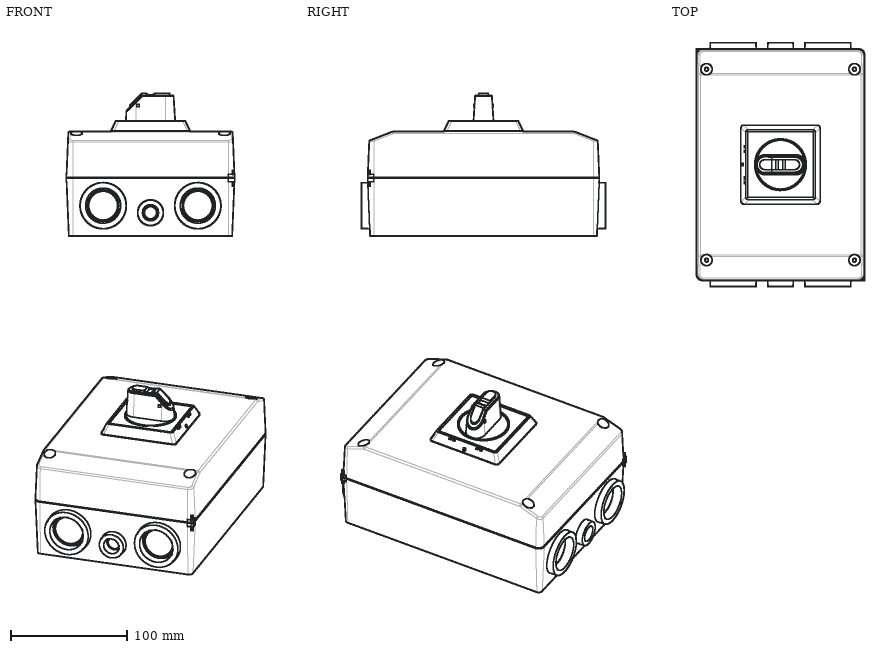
import cadquery as cq
import math

OVERALL_X = 145.3
OVERALL_Y = 210.2

BODY_X = 145.0
BODY_Y = 199.7
CORNER_R = 5.5
PARTING_Z = 50.2
LID_TOP_Z = 90.2
BASE_DRAFT = 2.0
LID_DRAFT = 1.7
SEAM_DEPTH = 0.5
SEAM_HEIGHT = 0.6

SLOPE_START_Y = 78.2
SLOPE_END_Y = 98.4
SLOPE_END_Z = 82.5
SLOPE_CREST_R = 4.2
LID_EDGE_R = 1.7

SCREW_X = 63.7
SCREW_Y = 82.2
SCREW_HEAD_R = 4.8
SCREW_HEAD_Z = 79.9
SCREW_HOLE_R = 1.5

LUG_SIZE = CORNER_R
LUG_BOTTOM_Z = 46.7
LUG_TOP_Z = 53.2
SLEEVE_INSET = 1.37
SLEEVE_R = 1.0
SLEEVE_HOLE_R = 0.6
SLEEVE_BOTTOM_Z = 43.0
SLEEVE_TOP_Z = 57.0

ENTRY_ROOT_Y = 94.6
ENTRY_FLOOR_Y = 96.7
ENTRY_DRAFT = 0.5
KNOCKOUT_Y = 98.2
KNOCKOUT_BEVEL = 1.3
LARGE_ENTRY_X = 40.8
LARGE_ENTRY_Z = 26.3
LARGE_ENTRY_R = 20.2
LARGE_MOUTH_R = 15.1
LARGE_KNOCKOUT_R = 12.5
SMALL_ENTRY_Z = 20.2
SMALL_ENTRY_R = 11.4
SMALL_MOUTH_R = 7.0
SMALL_KNOCKOUT_R = 5.3

PLATE_SIZE = 68.1
PLATE_CORNER_R = 2.7
PLATE_FOOT = 0.6
PLATE_DRAFT = 4.0
PLATE_TOP_Z = 99.2
LABEL_SIZE = 56.3
LABEL_DEPTH = 0.5
DIAL_OUTER_R = 22.3
DIAL_INNER_R = 21.0
DIAL_DEPTH = 0.6
NOTCH_DEPTH = 0.8
PORT_SIZE = 2.0
PORT_Z = 93.3
VENT_YS = (11.5, 15.3)
VENT_WIDTH = 1.9
VENT_HEIGHT = 1.3
VENT_Z = 97.5

HANDLE_LENGTH = 42.9
HANDLE_WIDTH = 17.5
HANDLE_TOP_Z = 121.5
HANDLE_DRAFT = 1.5
HANDLE_EDGE = 0.8
HANDLE_SLOPE_X = -7.4
RIDGE_WIDTH = 8.5
RIDGE_MIN_X = -17.9
RIDGE_MAX_X = 16.5
RIDGE_TOP_Z = 123.2
RIDGE_DIP_Z = 122.0
RIDGE_BOTTOM_Z = 105.1
DIP_LENGTH = 8.5
DIP_RUN = 2.0
NUB_X = -11.0
NUB_Z = 112.5
NUB_SIZE = 2.0
NUB_SPAN_Y = 16.5

MIRROR_SIGNS = (-1, 1)


def rounded_prism(size_x, size_y, corner_r, start_z, height, inset=0):
    """Rounded rectangle raised by height; its walls lean in by inset."""
    outline = cq.Sketch().rect(size_x, size_y).vertices().fillet(corner_r)
    draft = math.degrees(math.atan2(inset, abs(height)))
    return cq.Workplane("XY", origin=(0, 0, start_z)).placeSketch(outline).extrude(height, taper=draft)


def make_lid():
    """Drafted lid with both ends sloping down and a rounded rim."""
    height = LID_TOP_Z - PARTING_Z
    lid = rounded_prism(BODY_X, BODY_Y, CORNER_R, PARTING_Z, height, LID_DRAFT)
    fall = (LID_TOP_Z - SLOPE_END_Z) / (SLOPE_END_Y - SLOPE_START_Y)
    cut_end_y = OVERALL_Y / 2
    cut_end_z = LID_TOP_Z - fall * (cut_end_y - SLOPE_START_Y)
    for side in MIRROR_SIGNS:
        wedge = (
            cq.Workplane("YZ")
            .polyline([
                (side * SLOPE_START_Y, LID_TOP_Z),
                (side * cut_end_y, cut_end_z),
                (side * cut_end_y, LID_TOP_Z),
            ])
            .close()
            .extrude(OVERALL_X / 2, both=True)
        )
        lid = lid.cut(wedge)
    lid = lid.faces(">Z").edges("|X").fillet(SLOPE_CREST_R)
    return lid.faces(">Z").edges("|Y").fillet(LID_EDGE_R)


def cut_seam(body):
    """Fine groove round the walls where the lid meets the base."""
    start_z = PARTING_Z - SEAM_HEIGHT / 2
    band = cq.Workplane("XY", origin=(0, 0, start_z)).rect(OVERALL_X, OVERALL_Y).extrude(SEAM_HEIGHT)
    core = rounded_prism(
        BODY_X - 2 * SEAM_DEPTH, BODY_Y - 2 * SEAM_DEPTH, CORNER_R - SEAM_DEPTH,
        start_z, SEAM_HEIGHT)
    return body.cut(band.cut(core))


def add_lugs(body):
    """Square up two diagonal corners at the seam, each with a drilled sleeve."""
    outer_x = OVERALL_X / 2
    outer_y = BODY_Y / 2
    for side in MIRROR_SIGNS:
        block = cq.Workplane("XY").box(
            LUG_SIZE, LUG_SIZE, LUG_TOP_Z - LUG_BOTTOM_Z, centered=(True, True, False))
        block = block.translate((
            side * (outer_x - LUG_SIZE / 2), -side * (outer_y - LUG_SIZE / 2), LUG_BOTTOM_Z))
        axis = (side * (outer_x - SLEEVE_INSET), -side * (outer_y - SLEEVE_INSET), SLEEVE_BOTTOM_Z)
        sleeve_plane = cq.Workplane("XY", origin=axis)
        sleeve_height = SLEEVE_TOP_Z - SLEEVE_BOTTOM_Z
        body = body.union(block)
        body = body.union(sleeve_plane.circle(SLEEVE_R).extrude(sleeve_height))
        body = body.cut(sleeve_plane.circle(SLEEVE_HOLE_R).extrude(sleeve_height))
    return body


def cut_screws(body):
    """Four sunken screw seats with holes right through the enclosure."""
    for side_x in MIRROR_SIGNS:
        for side_y in MIRROR_SIGNS:
            place = (side_x * SCREW_X, side_y * SCREW_Y)
            head = (
                cq.Workplane("XY", origin=(*place, SCREW_HEAD_Z))
                .circle(SCREW_HEAD_R)
                .extrude(LID_TOP_Z - SCREW_HEAD_Z)
            )
            hole = cq.Workplane("XY", origin=(*place, 0)).circle(SCREW_HOLE_R).extrude(LID_TOP_Z)
            body = body.cut(head).cut(hole)
    return body


def cable_entry(x, z, outer_r, mouth_r, knockout_r):
    """Boss on the +Y wall and the recess to cut from it, round a raised knockout disc."""
    face_y = OVERALL_Y / 2
    boss_outline = [
        (0, ENTRY_ROOT_Y),
        (outer_r, ENTRY_ROOT_Y),
        (outer_r - ENTRY_DRAFT, face_y),
        (0, face_y),
    ]
    recess_outline = [
        (0, face_y),
        (mouth_r, face_y),
        (mouth_r, ENTRY_FLOOR_Y),
        (knockout_r + KNOCKOUT_BEVEL, ENTRY_FLOOR_Y),
        (knockout_r, KNOCKOUT_Y),
        (0, KNOCKOUT_Y),
    ]

    def turned(outline):
        solid = cq.Workplane("XY").polyline(outline).close().revolve(360, (0, 0, 0), (0, 1, 0))
        return solid.translate((x, 0, z))

    return turned(boss_outline), turned(recess_outline)


def add_cable_entries(body):
    """One small entry between two large ones, on both end walls."""
    large = (LARGE_ENTRY_Z, LARGE_ENTRY_R, LARGE_MOUTH_R, LARGE_KNOCKOUT_R)
    small = (SMALL_ENTRY_Z, SMALL_ENTRY_R, SMALL_MOUTH_R, SMALL_KNOCKOUT_R)
    for x, sizes in ((-LARGE_ENTRY_X, large), (0, small), (LARGE_ENTRY_X, large)):
        boss, recess = cable_entry(x, *sizes)
        body = body.union(boss).cut(recess)
        body = body.union(boss.mirror("XZ")).cut(recess.mirror("XZ"))
    return body


def make_plate():
    """Tapered plate with a sunken label, a dial ring and notches in its -X side."""
    foot_top_z = LID_TOP_Z + PLATE_FOOT
    height = PLATE_TOP_Z - foot_top_z
    draft = math.degrees(math.atan2(PLATE_DRAFT, height))
    foot = rounded_prism(PLATE_SIZE, PLATE_SIZE, PLATE_CORNER_R, LID_TOP_Z, PLATE_FOOT)
    plate = (
        cq.Workplane("XY", origin=(0, 0, foot_top_z))
        .rect(PLATE_SIZE, PLATE_SIZE)
        .extrude(height, taper=draft)
        .edges("not(|X or |Y)")
        .fillet(PLATE_CORNER_R)
        .union(foot)
    )
    top = cq.Workplane("XY", origin=(0, 0, PLATE_TOP_Z))
    label_floor = top.workplane(offset=-LABEL_DEPTH)
    plate = plate.cut(top.rect(LABEL_SIZE, LABEL_SIZE).extrude(-LABEL_DEPTH))
    plate = plate.cut(label_floor.circle(DIAL_OUTER_R).circle(DIAL_INNER_R).extrude(-DIAL_DEPTH))

    def notch(y, z, width, tall):
        wall_x = -PLATE_SIZE / 2 + PLATE_DRAFT * (z - foot_top_z) / height
        return cq.Workplane("XY").box(2 * NOTCH_DEPTH, width, tall).translate((wall_x, y, z))

    plate = plate.cut(notch(0, PORT_Z, PORT_SIZE, PORT_SIZE))
    for y in VENT_YS:
        for side in MIRROR_SIGNS:
            plate = plate.cut(notch(side * y, VENT_Z, VENT_WIDTH, VENT_HEIGHT))
    return plate


def make_handle():
    """Tapered grip with a 45-degree face and a raised, dipped pointer ridge."""
    floor_z = PLATE_TOP_Z - LABEL_DEPTH
    height = HANDLE_TOP_Z - floor_z
    draft = math.degrees(math.atan2(HANDLE_DRAFT, height))
    grip = (
        cq.Workplane("XY", origin=(0, 0, floor_z))
        .slot2D(HANDLE_LENGTH, HANDLE_WIDTH)
        .extrude(height, taper=draft)
    )
    slope_run = HANDLE_LENGTH / 2 + HANDLE_SLOPE_X
    corner = (
        cq.Workplane("XZ")
        .polyline([
            (HANDLE_SLOPE_X, HANDLE_TOP_Z),
            (-HANDLE_LENGTH / 2, HANDLE_TOP_Z - slope_run),
            (-HANDLE_LENGTH / 2, HANDLE_TOP_Z),
        ])
        .close()
        .extrude(HANDLE_WIDTH, both=True)
    )
    grip = grip.cut(corner)
    grip = grip.faces(">Z or >(-1, 0, 1)").edges("not(|Y)").chamfer(HANDLE_EDGE)

    ridge_slope_run = HANDLE_SLOPE_X - RIDGE_MIN_X
    ridge_side = (
        cq.Workplane("XZ")
        .moveTo(RIDGE_MIN_X, RIDGE_BOTTOM_Z)
        .lineTo(RIDGE_MIN_X, RIDGE_TOP_Z - ridge_slope_run)
        .lineTo(HANDLE_SLOPE_X, RIDGE_TOP_Z)
        .lineTo(-DIP_LENGTH / 2, RIDGE_TOP_Z)
        .lineTo(-DIP_LENGTH / 2 + DIP_RUN, RIDGE_DIP_Z)
        .lineTo(DIP_LENGTH / 2 - DIP_RUN, RIDGE_DIP_Z)
        .lineTo(DIP_LENGTH / 2, RIDGE_TOP_Z)
        .lineTo(RIDGE_MAX_X, RIDGE_TOP_Z)
        .lineTo(RIDGE_MAX_X, RIDGE_BOTTOM_Z)
        .close()
        .extrude(RIDGE_WIDTH, both=True)
    )
    ridge_plan = (
        cq.Workplane("XY", origin=((RIDGE_MIN_X + RIDGE_MAX_X) / 2, 0, RIDGE_BOTTOM_Z))
        .slot2D(RIDGE_MAX_X - RIDGE_MIN_X, RIDGE_WIDTH)
        .extrude(RIDGE_TOP_Z - RIDGE_BOTTOM_Z)
    )
    nub = cq.Workplane("XY").box(NUB_SIZE, NUB_SPAN_Y, NUB_SIZE).translate((NUB_X, 0, NUB_Z))
    return grip.union(ridge_side.intersect(ridge_plan)).union(nub)


base = rounded_prism(BODY_X, BODY_Y, CORNER_R, PARTING_Z, -PARTING_Z, BASE_DRAFT)
body = base.union(make_lid())
body = add_lugs(body)
body = cut_seam(body)
body = add_cable_entries(body)
body = cut_screws(body)
result = body.union(make_plate()).union(make_handle())